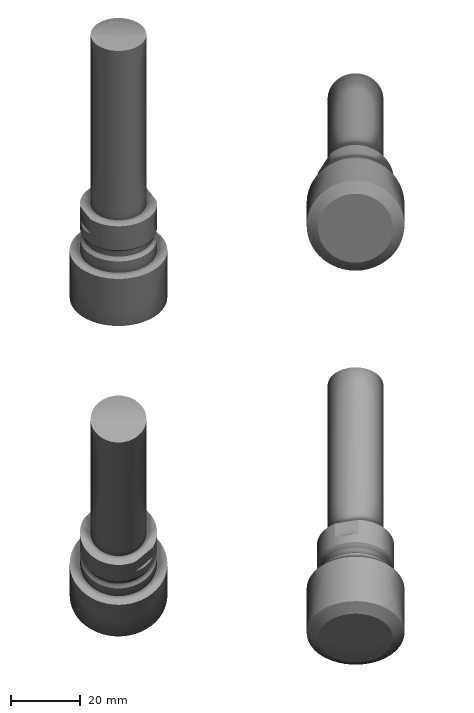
import math

import cadquery as cq

shank_diameter = 16.0
collar_diameter = 22.1
groove_diameter = 20.0
neck_diameter = 22.0
nut_diameter = 28.0

nut_chamfer_height = 1.9
nut_top = 18.6
groove_bottom = 23.6
groove_top = 25.6
collar_top = 35.1
shank_length = 60.0
shank_top = collar_top + shank_length

nut_chamfer_angle = 30.0

across_flats = 21.0
flat_bottom = 30.1


def make_body():
    """Turned body: clamping nut, neck, grooved collar and plain shank on the Z axis."""
    shank_radius = shank_diameter / 2
    collar_radius = collar_diameter / 2
    groove_radius = groove_diameter / 2
    neck_radius = neck_diameter / 2
    nut_radius = nut_diameter / 2
    nut_face_radius = nut_radius - nut_chamfer_height / math.tan(math.radians(nut_chamfer_angle))

    lower_shoulder = neck_radius - groove_radius
    upper_shoulder = collar_radius - groove_radius

    half_profile = [
        (0, 0),
        (nut_face_radius, 0),
        (nut_radius, nut_chamfer_height),
        (nut_radius, nut_top),
        (neck_radius, nut_top),
        (neck_radius, groove_bottom - lower_shoulder),
        (groove_radius, groove_bottom),
        (groove_radius, groove_top),
        (collar_radius, groove_top + upper_shoulder),
        (collar_radius, collar_top),
        (shank_radius, collar_top),
        (shank_radius, shank_top),
        (0, shank_top),
    ]
    body = cq.Workplane("XZ").polyline(half_profile).close().revolve(360, (0, 0), (0, 1))
    return body.rotate((0, 0, 0), (0, 0, 1), 180)


def make_flat_cutter(side):
    """Cutter for the flat on the +Y (side=1) or -Y (side=-1) face, with a 45-degree lower run-out."""
    collar_radius = collar_diameter / 2
    flat_distance = across_flats / 2
    run_out = collar_radius - flat_distance
    section = [
        (side * flat_distance, flat_bottom),
        (side * collar_radius, flat_bottom - run_out),
        (side * collar_radius, collar_top),
        (side * flat_distance, collar_top),
    ]
    return cq.Workplane("YZ").polyline(section).close().extrude(collar_radius, both=True)


result = make_body()
for side in (-1, 1):
    result = result.cut(make_flat_cutter(side))